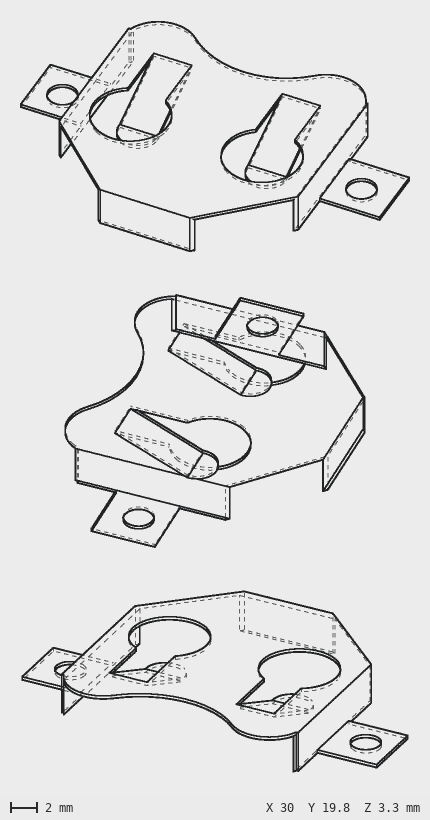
import cadquery as cq
import math

total_length = 30.0
body_width = 19.98
body_depth = 19.75
height = 3.3
sheet = 0.27

front_half_width = 3.75
bevel_end_y = 5.8
shoulder_y = 17.8
lobe_radius = 3.0
lobe_x = 7.02
notch_bottom_y = 17.0

window_x = 5.5
window_y = 8.85
window_radius = 3.1
tongue_centers_x = (-5.43, 5.3)
tongue_width = 3.18
tongue_root_y = 16.0
tongue_bend_y = 10.1
tongue_tip_y = 8.37
tongue_tip_bottom = 0.5

tab_width = 5.13
tab_y = 12.05
tab_hole_diameter = 2.35
tab_hole_y = 11.88
tab_holes_x = (-12.65, 12.33)

half_width = body_width / 2
plate_bottom = height - sheet


def block(x0, x1, y0, y1, z0, z1):
    """Box between opposite corners."""
    return cq.Workplane("XY").box(x1 - x0, y1 - y0, z1 - z0, centered=False).translate((x0, y0, z0))


def cover_outline():
    """Full-height prism with bevelled front corners and two rear lobes tangent to a concave notch."""
    lobe_y = body_depth - lobe_radius
    lobe_rise = shoulder_y - lobe_y
    lobe_start_x = lobe_x + math.sqrt(lobe_radius**2 - lobe_rise**2)
    center_gap = notch_bottom_y - lobe_y
    notch_radius = (lobe_x**2 + center_gap**2 - lobe_radius**2) / (2 * (lobe_radius - center_gap))
    share = lobe_radius / (lobe_radius + notch_radius)
    tangent_x = lobe_x * (1 - share)
    tangent_y = lobe_y + share * (center_gap + notch_radius)
    return (
        cq.Workplane("XY")
        .moveTo(-front_half_width, 0)
        .lineTo(front_half_width, 0)
        .lineTo(half_width, bevel_end_y)
        .lineTo(half_width, shoulder_y)
        .lineTo(lobe_start_x, shoulder_y)
        .threePointArc((lobe_x, body_depth), (tangent_x, tangent_y))
        .threePointArc((0, notch_bottom_y), (-tangent_x, tangent_y))
        .threePointArc((-lobe_x, body_depth), (-lobe_start_x, shoulder_y))
        .lineTo(-half_width, shoulder_y)
        .lineTo(-half_width, bevel_end_y)
        .close()
        .extrude(height)
    )


def folded_cover():
    """Top plate with front and side walls; the bevels and the rear stay open."""
    inner_half = half_width - sheet
    hollow = block(-inner_half, inner_half, sheet, body_depth, 0, plate_bottom)
    return cover_outline().cut(hollow)


def tongue(center_x):
    """Strip sloping down from the plate to a level, rounded tip."""
    tip_top = tongue_tip_bottom + sheet
    strip = (
        cq.Workplane("YZ")
        .polyline([
            (tongue_root_y, height),
            (tongue_bend_y, tip_top),
            (tongue_tip_y, tip_top),
            (tongue_tip_y, tongue_tip_bottom),
            (tongue_bend_y, tongue_tip_bottom),
            (tongue_root_y, plate_bottom),
        ])
        .close()
        .extrude(tongue_width / 2, both=True)
    )
    half = tongue_width / 2
    round_y = tongue_tip_y + half
    plan = (
        cq.Workplane("XY")
        .moveTo(-half, tongue_root_y)
        .lineTo(-half, round_y)
        .threePointArc((0, tongue_tip_y), (half, round_y))
        .lineTo(half, tongue_root_y)
        .close()
        .extrude(height)
    )
    return strip.intersect(plan).translate((center_x, 0, 0))


def tongue_slot(center_x):
    """Gap in the plate that the tongue is bent out of."""
    half = tongue_width / 2
    return block(center_x - half, center_x + half, window_y, tongue_root_y, plate_bottom, height)


def tab(side, hole_x):
    """Foot reaching outward from a side wall, with a round hole."""
    inner_x = side * (half_width - sheet)
    outer_x = side * total_length / 2
    foot = block(
        min(inner_x, outer_x), max(inner_x, outer_x),
        tab_y - tab_width / 2, tab_y + tab_width / 2,
        0, sheet,
    )
    hole = cq.Workplane("XY").center(hole_x, tab_hole_y).circle(tab_hole_diameter / 2).extrude(sheet)
    return foot.cut(hole)


windows = (
    cq.Workplane("XY", origin=(0, 0, plate_bottom))
    .pushPoints([(-window_x, window_y), (window_x, window_y)])
    .circle(window_radius)
    .extrude(sheet)
)

result = folded_cover().cut(windows)
for tongue_x in tongue_centers_x:
    result = result.cut(tongue_slot(tongue_x)).union(tongue(tongue_x))
for tab_side, tab_hole_x in zip((-1, 1), tab_holes_x):
    result = result.union(tab(tab_side, tab_hole_x))